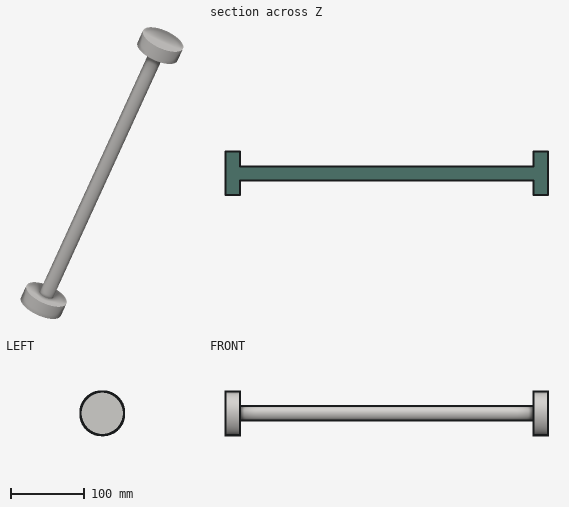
import cadquery as cq

overall_length = 440.0
rod_diameter = 20.0
disc_diameter = 60.0
disc_thickness = 20.0

rod_length = overall_length - 2 * disc_thickness


def cylinder_along_x(start_x, length, diameter):
    """Solid cylinder on the X axis, running from start_x toward +X."""
    return cq.Workplane("YZ", origin=(start_x, 0, 0)).circle(diameter / 2).extrude(length)


result = cylinder_along_x(-rod_length / 2, rod_length, rod_diameter)
for disc_start_x in (-overall_length / 2, rod_length / 2):
    result = result.union(cylinder_along_x(disc_start_x, disc_thickness, disc_diameter))